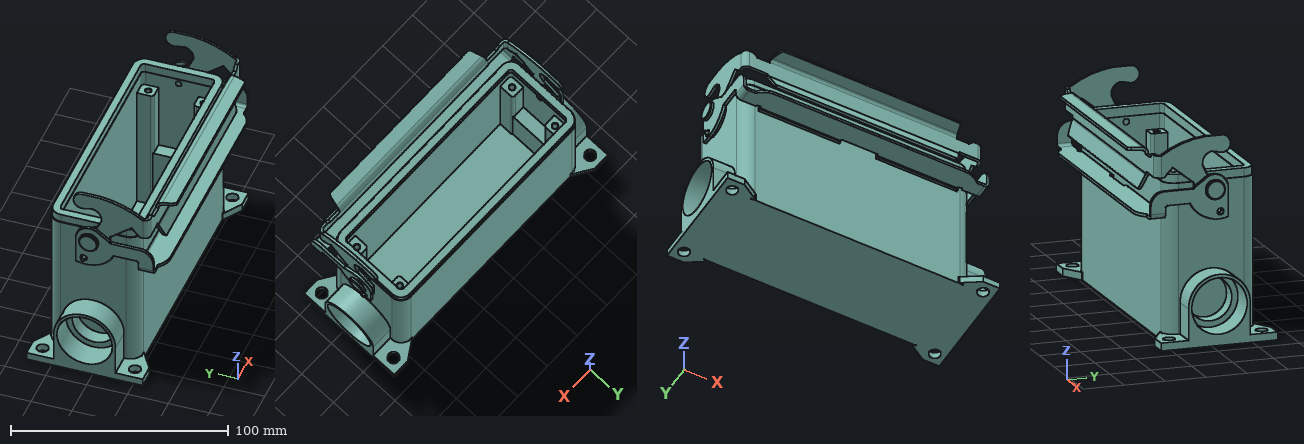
import cadquery as cq
import math

overall_length = 144.0
body_length = 120.8
body_width = 44.5
body_corner = 6.2
body_height = 80.4
step_height = 76.2
step_inset = 0.5

cavity_length = 112.0
cavity_width = 36.0
cavity_corner = 1.7
ledge_height = 75.7
ledge_inset = 0.1
floor_thickness = 3.9

foot_width = 57.0
foot_thickness = 3.9
foot_straight_end = 63.0
foot_taper_end = 53.3
foot_hole_x = 66.2
foot_hole_y = 22.6
foot_hole_diameter = 5.6

collar_radius = 15.1
collar_center_z = 19.0
collar_bore_radius = 13.5
collar_bore_depth = 12.7
knockout_radius = 10.5
knockout_depth = 7.2
inner_block_end = 49.2
inner_block_top = collar_center_z + collar_radius

post_length = 7.2
post_width = 8.2
post_top = 68.3
post_edge_radius = 1.5
post_hole_x = 52.3
post_hole_y = 13.5
post_hole_radius = 1.3
post_hole_depth = 11.5
post_hole_chamfer = 0.3

gauge = 1.5
hook_outer = 63.2
hook_inner = hook_outer - gauge
hook_top = 98.0
arm_gap = 0.3
bail_inner = hook_outer + arm_gap
bail_outer = bail_inner + gauge
bend_radius = 2.9
bend_overlap = 0.7

pivot_z = 73.2
pivot_reach = (body_length - cavity_length) / 2 + ledge_inset
pivot_radius = 1.5
spacer_radius = 2.9
shank_radius = 2.3
head_radius = 4.6
head_inner = 65.8
head_outer = 67.4
head_chamfer = 0.5

stop_y = 3.0
stop_z = 62.0
stop_radius = 0.9
stop_clearance_radius = 1.6
stop_end = 66.4

bridge_front = -28.2
bridge_back = bridge_front + gauge
bridge_bottom = 80.2
bridge_top = 90.7
bridge_waist_top = 88.4
bridge_arm_end = bridge_front + bend_radius
grip_front = -36.0
grip_top = 91.6
skirt_front = -31.4
skirt_bottom = 71.0
skirt_bend_radius = 2.2

bail_bottom = 60.9
bail_top = bail_bottom + gauge
bail_back = -23.8
bail_arm_front = -31.0
bail_front = -34.5
tab_back = -22.5
tab_bottom = 60.0
tab_outer = 52.4
tab_inner = 9.6
tab_edge_radius = 1.0
relief_center = 53.3
relief_width = 2.2
relief_depth = 0.9
relief_corner = 0.5


def block(x_range, y_range, z_range):
    """Axis-aligned block given by its limits."""
    size = [high - low for low, high in (x_range, y_range, z_range)]
    corner = (x_range[0], y_range[0], z_range[0])
    return cq.Workplane("XY").box(*size, centered=False).translate(corner)


def rounded_prism(length, width, corner, bottom, top):
    """Upright prism with rounded vertical edges, centred on the Z axis."""
    blank = cq.Workplane("XY").workplane(offset=bottom).rect(length, width).extrude(top - bottom)
    return blank.edges("|Z").fillet(corner)


def rod_x(radius, x_start, x_end, y, z):
    """Cylinder along X."""
    return cq.Workplane("YZ").workplane(offset=x_start).center(y, z).circle(radius).extrude(x_end - x_start)


def both_ends(part):
    """The part together with its mirror image at the other X end."""
    return part.union(part.mirror("YZ"))


def mirrored_outline(half):
    """Closed outline from the points of its -X half."""
    return half + [(-x, other) for x, other in reversed(half)]


def shell():
    """Open-topped box with a shallow step outside and a shallow ledge inside."""
    lower = rounded_prism(body_length, body_width, body_corner, 0, step_height)
    rim = rounded_prism(body_length - 2 * step_inset, body_width - 2 * step_inset,
                        body_corner - step_inset, step_height, body_height)
    cavity = rounded_prism(cavity_length - 2 * ledge_inset, cavity_width - 2 * ledge_inset,
                           cavity_corner, floor_thickness, ledge_height)
    mouth = rounded_prism(cavity_length, cavity_width, cavity_corner, ledge_height, body_height)
    return lower.union(rim).cut(cavity).cut(mouth)


def foot():
    """Mounting foot at the -X end, tapering into the long walls, with two screw holes."""
    end = -overall_length / 2
    half_width = foot_width / 2
    half_body = body_width / 2
    outline = [
        (end, half_width), (-foot_straight_end, half_width), (-foot_taper_end, half_body),
        (-foot_taper_end, -half_body), (-foot_straight_end, -half_width), (end, -half_width),
    ]
    plate = cq.Workplane("XY").polyline(outline).close().extrude(foot_thickness)
    outside = plate.cut(block((-cavity_length / 2, 0), (-half_body, half_body), (0, foot_thickness)))
    holes = (
        cq.Workplane("XY").pushPoints([(-foot_hole_x, foot_hole_y), (-foot_hole_x, -foot_hole_y)])
        .circle(foot_hole_diameter / 2).extrude(foot_thickness)
    )
    return outside.cut(holes)


def collar():
    """Cable entry collar at the -X end on a straight pedestal, plus the block behind it."""
    end = -overall_length / 2
    wall = -cavity_length / 2
    tube = rod_x(collar_radius, end, wall, 0, collar_center_z)
    pedestal = block((end, wall), (-collar_radius, collar_radius), (0, collar_center_z))
    backing = block((wall - ledge_inset, -inner_block_end), (-collar_radius, collar_radius),
                    (floor_thickness, inner_block_top))
    return tube.union(pedestal).union(backing)


def collar_bore():
    """Stepped blind bore of the -X collar."""
    end = -overall_length / 2
    bore_floor = end + collar_bore_depth
    wide = rod_x(collar_bore_radius, end, bore_floor, 0, collar_center_z)
    narrow = rod_x(knockout_radius, bore_floor, bore_floor + knockout_depth, 0, collar_center_z)
    return wide.union(narrow)


def screw_post(side_y):
    """Screw post in one corner of the -X end; side_y is +1 or -1."""
    corner_x = -cavity_length / 2 - ledge_inset
    corner_y = cavity_width / 2 + ledge_inset
    post = block((corner_x, -cavity_length / 2 + post_length),
                 (corner_y - ledge_inset - post_width, corner_y), (floor_thickness, post_top))
    post = post.edges("|Z and >X and <Y").fillet(post_edge_radius)
    hole = (
        cq.Workplane("XY").workplane(offset=post_top).center(-post_hole_x, post_hole_y)
        .circle(post_hole_radius).extrude(-post_hole_depth)
    )
    sink = cq.Workplane(cq.Solid.makeCone(
        post_hole_radius, post_hole_radius + post_hole_chamfer, post_hole_chamfer,
        pnt=cq.Vector(-post_hole_x, post_hole_y, post_top - post_hole_chamfer), dir=cq.Vector(0, 0, 1)))
    post = post.cut(hole).cut(sink)
    return post if side_y > 0 else post.mirror("XZ")


def make_housing():
    end_parts = foot().union(collar())
    for side_y in (1, -1):
        end_parts = end_parts.union(screw_post(side_y))
    wall_outside = -body_length / 2
    pivot_hole = rod_x(pivot_radius, wall_outside, wall_outside + pivot_reach, 0, pivot_z)
    return shell().union(both_ends(end_parts)).cut(both_ends(collar_bore().union(pivot_hole)))


def hook_arm():
    """Flat hook plate at the -X end, running from the pivot up to the nose and the bridge."""
    nose_radius = 4.2
    nose_y = 4.5
    nose_bottom = hook_top - 2 * nose_radius
    tail_back = 6.3
    tail_front = -9.2
    profile = (
        cq.Workplane("YZ").workplane(offset=-hook_outer)
        .moveTo(bridge_arm_end, bridge_top)
        .threePointArc((-15.1, 95.8), (-4.3, hook_top))
        .lineTo(nose_y, hook_top)
        .threePointArc((nose_y + nose_radius, hook_top - nose_radius), (nose_y, nose_bottom))
        .threePointArc((2.2, 90.1), (-0.6, 90.7))
        .threePointArc((-4.2, 88.5), (-5.0, 84.7))
        .lineTo(-2.9, 80.0)
        .lineTo(tail_back, 75.2)
        .lineTo(tail_back, 63.4)
        .threePointArc((-2.9, 61.5), (tail_front, 71.4))
        .lineTo(tail_front, 76.3)
        .lineTo(-19.7, 84.7)
        .lineTo(-23.9, bridge_bottom)
        .lineTo(bridge_arm_end, bridge_bottom)
        .close()
    )
    return profile.extrude(gauge)


def bent_corner_band():
    """U-shaped sheet joining the hook arms across the front."""
    z_range = (bridge_bottom, bridge_top)
    back = bridge_arm_end + bend_overlap
    outer = block((-hook_outer, hook_outer), (bridge_front, back), z_range)
    outer = outer.edges("|Z and <Y").fillet(bend_radius)
    inner = block((-hook_inner, hook_inner), (bridge_back, back), z_range)
    inner = inner.edges("|Z and <Y").fillet(bend_radius - gauge)
    return outer.cut(inner)


def bridge():
    """Joining sheet with its upper edge lowered between the arms."""
    waist = mirrored_outline([(-58.0, bridge_top), (-55.9, bridge_waist_top)])
    notch = cq.Workplane("XZ").polyline(waist).close().extrude(-2 * bridge_front)
    return bent_corner_band().cut(notch)


def grip():
    """Finger lip bent forward from the top of the bridge."""
    lip_bottom = grip_top - gauge
    inner_bend = bend_radius - gauge
    bend_end = bridge_front - inner_bend
    bend_start = lip_bottom - inner_bend
    strip = (
        cq.Workplane("YZ").workplane(offset=-hook_outer)
        .moveTo(bridge_back, bridge_waist_top)
        .lineTo(bridge_back, bend_start)
        .radiusArc((bend_end, grip_top), -bend_radius)
        .lineTo(grip_front, grip_top)
        .lineTo(grip_front, lip_bottom)
        .lineTo(bend_end, lip_bottom)
        .radiusArc((bridge_front, bend_start), inner_bend)
        .lineTo(bridge_front, bridge_waist_top)
        .close().extrude(2 * hook_outer)
    )
    outline = mirrored_outline([(-49.5, bridge_back), (-49.4, bridge_front), (-47.7, -34.4), (-46.5, grip_front)])
    trim = cq.Workplane("XY").polyline(outline).close().extrude(2 * grip_top)
    return strip.intersect(trim)


def skirt():
    """Strip sloping forward and down from the bottom of the bridge."""
    strip = (
        cq.Workplane("YZ").workplane(offset=-hook_outer)
        .moveTo(bridge_back, bridge_bottom)
        .lineTo(bridge_front, bridge_bottom)
        .lineTo(bridge_front, 79.2)
        .radiusArc((-28.5, 78.6), skirt_bend_radius)
        .lineTo(skirt_front, 71.5)
        .lineTo(-30.1, skirt_bottom)
        .lineTo(bridge_back, 78.9)
        .close().extrude(2 * hook_outer)
    )
    outline = mirrored_outline([
        (-50.7, bridge_bottom), (-50.1, 78.5), (-48.5, 72.9), (-48.0, 71.7), (-46.8, skirt_bottom),
    ])
    trim = cq.Workplane("XZ").polyline(outline).close().extrude(-2 * skirt_front)
    return strip.intersect(trim)


def bail_arm():
    """Flat outer plate at the -X end, from the pivot forward and down to the bail strip."""
    boss_radius = 6.9
    arm_top = 74.0
    arm_bottom = 67.2
    elbow_radius = 6.5
    inner_elbow_chamfer = 0.9
    lobe_end = 59.3
    bend_top = bail_bottom + bend_radius
    tangent = math.radians(45)
    profile = (
        cq.Workplane("YZ").workplane(offset=-bail_outer)
        .moveTo(boss_radius, lobe_end)
        .lineTo(boss_radius, pivot_z)
        .threePointArc((0, pivot_z + boss_radius),
                       (-boss_radius * math.sin(tangent), pivot_z + boss_radius * math.cos(tangent)))
        .lineTo(-9.2, 75.0)
        .lineTo(-10.1, arm_top)
        .lineTo(bail_arm_front + elbow_radius, arm_top)
        .radiusArc((bail_arm_front, arm_top - elbow_radius), -elbow_radius)
        .lineTo(bail_arm_front, bend_top)
        .lineTo(bail_back, bend_top)
        .lineTo(bail_back, arm_bottom - inner_elbow_chamfer)
        .lineTo(bail_back + inner_elbow_chamfer, arm_bottom)
        .lineTo(-11.8, arm_bottom)
        .threePointArc((-5.9, 60.8), (boss_radius, lobe_end))
        .close()
    )
    stop_hole = rod_x(stop_clearance_radius, -bail_outer, -bail_inner, stop_y, stop_z)
    return profile.extrude(gauge).cut(stop_hole)


def bail_bends():
    """U-shaped sheet under the elbows: both bends and the straight strip between them."""
    y_range = (bail_arm_front, bail_back)
    bend_top = bail_bottom + bend_radius + bend_overlap
    outer = block((-bail_outer, bail_outer), y_range, (bail_bottom, bend_top))
    outer = outer.edges("|Y and <Z").fillet(bend_radius)
    inner = block((-bail_inner, bail_inner), y_range, (bail_top, bend_top))
    inner = inner.edges("|Y and <Z").fillet(bend_radius - gauge)
    return outer.cut(inner)


def bail_nose():
    """Forward edge of the bail strip with rounded ends."""
    curve_start_x = 58.5
    curve_middle = (55.7, -33.1)
    curve_end_x = 51.5
    return (
        cq.Workplane("XY").workplane(offset=bail_bottom)
        .moveTo(-curve_start_x, bail_arm_front)
        .threePointArc((-curve_middle[0], curve_middle[1]), (-curve_end_x, bail_front))
        .lineTo(curve_end_x, bail_front)
        .threePointArc(curve_middle, (curve_start_x, bail_arm_front))
        .close().extrude(gauge)
    )


def bail_reliefs():
    """Notches in the back edge of the bail at the ends of the stop tabs."""
    z_range = (bail_bottom, bail_top)
    y_range = (bail_back - relief_depth, bail_back)
    middle = block((-tab_inner, tab_inner), y_range, z_range)
    end = block((-relief_center - relief_width / 2, -relief_center + relief_width / 2), y_range, z_range)
    return middle.union(both_ends(end)).edges("|Z and <Y").fillet(relief_corner)


def stop_tab():
    """Rounded tab behind the -X half of the bail, turned down against the housing wall."""
    tab = block((-tab_outer, -tab_inner), (bail_back, tab_back), (tab_bottom, bail_top))
    return tab.edges("|X and >Y and >Z").fillet(tab_edge_radius)


def pivot():
    """Stepped rivet through the -X arms and the housing wall."""
    wall_outside = -body_length / 2
    core = rod_x(pivot_radius, wall_outside, wall_outside + pivot_reach, 0, pivot_z)
    spacer = rod_x(spacer_radius, -hook_inner, wall_outside, 0, pivot_z)
    shank = rod_x(shank_radius, -head_inner, -hook_inner, 0, pivot_z)
    head = rod_x(head_radius, -head_outer, -head_inner, 0, pivot_z).faces("<X").edges().chamfer(head_chamfer)
    return core.union(spacer).union(shank).union(head)


def make_lever():
    stop_pin = rod_x(stop_radius, -stop_end, -hook_inner, stop_y, stop_z)
    end_parts = hook_arm().union(bail_arm()).union(stop_pin).union(pivot())
    front_parts = bridge().union(grip()).union(skirt())
    bail = bail_bends().union(bail_nose()).cut(bail_reliefs()).union(both_ends(stop_tab()))
    return front_parts.union(bail).union(both_ends(end_parts))


housing = make_housing()
lever = make_lever()
result = cq.Compound.makeCompound([housing.solids().val(), lever.solids().val()])